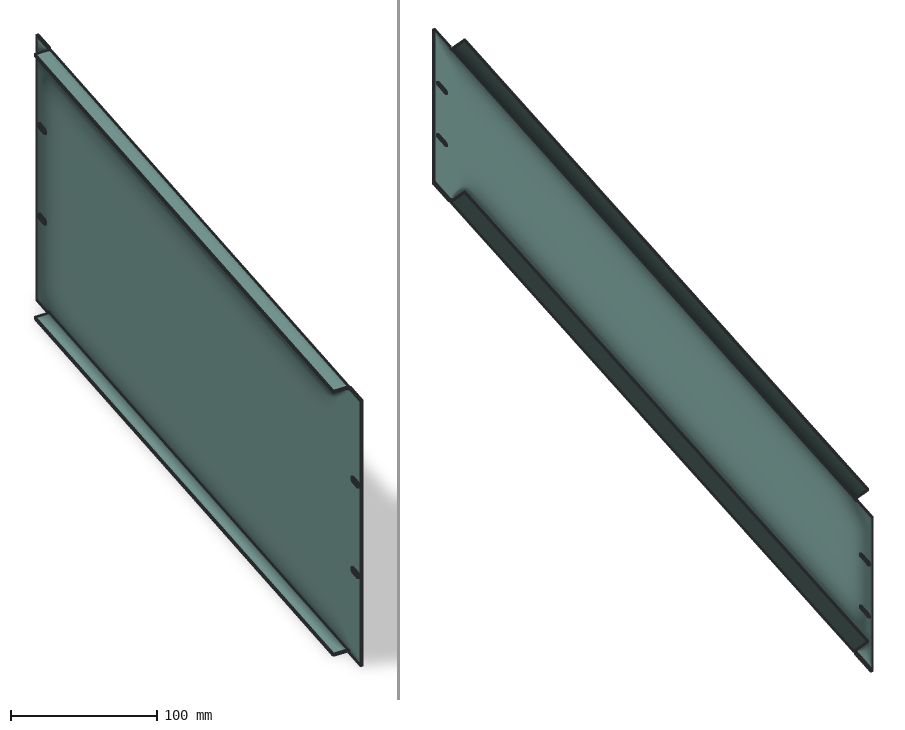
import cadquery as cq

panel_width = 482.0
panel_height = 222.5
total_depth = 12.5
sheet_thickness = 1.5
flange_length = 443.5
bend_radius = 1.4

relief_width = 1.5
relief_depth = sheet_thickness

slot_spacing_x = 465.0
slot_spacing_z = 76.0
slot_length = 10.5
slot_height = 4.5

back_y = total_depth / 2
sheet_center_y = back_y - sheet_thickness / 2


def flange(side):
    """Flange on the top (side = 1) or bottom (side = -1) edge, rounded at its fold."""
    center_z = side * (panel_height - sheet_thickness) / 2
    outer_face = ">Z" if side > 0 else "<Z"
    return (
        cq.Workplane("XY")
        .box(flange_length, total_depth, sheet_thickness)
        .faces(outer_face)
        .edges(">Y")
        .fillet(bend_radius)
        .translate((0, 0, center_z))
    )


panel = (
    cq.Workplane("XY")
    .box(panel_width, sheet_thickness, panel_height)
    .translate((0, sheet_center_y, 0))
)
edge_cut_length = flange_length + 2 * relief_width
for side in (-1, 1):
    edge_cut = (
        cq.Workplane("XY")
        .box(edge_cut_length, total_depth, relief_depth)
        .translate((0, 0, side * (panel_height - relief_depth) / 2))
    )
    panel = panel.cut(edge_cut).union(flange(side))

slots = (
    cq.Workplane("XZ")
    .rarray(slot_spacing_x, slot_spacing_z, 2, 2)
    .slot2D(slot_length, slot_height)
    .extrude(total_depth, both=True)
)

result = panel.cut(slots)